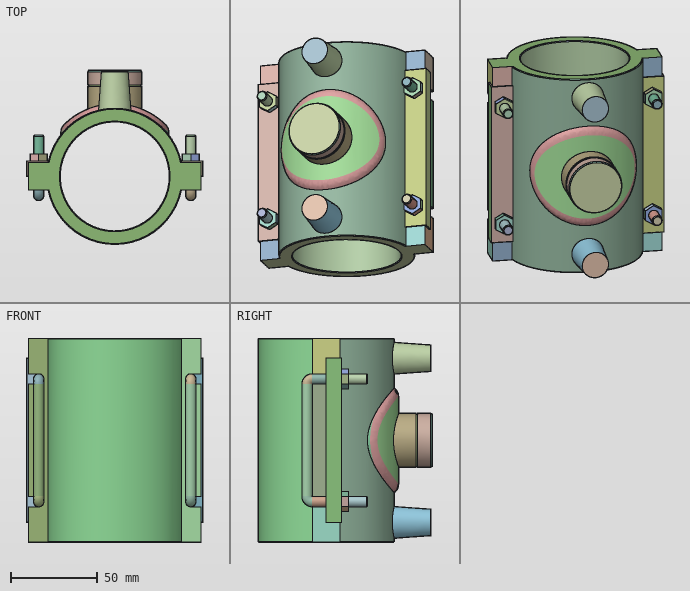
import cadquery as cq


SHELL_LENGTH = 118.0
SHELL_RADIUS = 39.4
BORE_RADIUS = 31.5
SHELL_CHAMFER = 0.5

FLANGE_HALF_WIDTH = 50.0
FLANGE_THICKNESS = 8.0

PLATE_THICKNESS = 1.0
PLATE_LENGTH = 95.0

ROD_DIAMETER = 6.0
ROD_RADIUS = ROD_DIAMETER / 2
ROD_X = 44.0
ROD_Z = 35.5
ROD_TIP_Y = 24.0
ROD_CHAMFER_RADIAL = 0.5
ROD_CHAMFER_LENGTH = 0.8
BEND_INNER_RADIUS = 0.05
BEND_RADIUS = ROD_RADIUS + BEND_INNER_RADIUS
NUT_ACROSS_FLATS = 10.0
NUT_HEIGHT = 4.0

PAD_DIAMETER = 62.7
PAD_OUTER_RADIUS = 42.0
PAD_EDGE_FILLET = 6.0

SPIGOT_DIAMETER = 31.35
SPIGOT_TIP_Y = 61.48
SPIGOT_CHAMFER_RADIAL = 0.5
SPIGOT_CHAMFER_LENGTH = 1.0
GROOVE_DIAMETER = 30.35
GROOVE_WIDTH = 1.0
COLLAR_LENGTH = 8.5

PEG_Z = 47.5
PEG_BASE_DIAMETER = 19.29
PEG_TIP_DIAMETER = 15.5
PEG_BASE_Y = 34.5
PEG_TIP_Y = 60.6

MID_WALL_RADIUS = (BORE_RADIUS + SHELL_RADIUS) / 2
PLATE_FACE_Y = FLANGE_THICKNESS + PLATE_THICKNESS
HALF_LENGTH = SHELL_LENGTH / 2


def block(x_range, y_range, z_range):
    """Axis-aligned box given by its (low, high) limits on each axis."""
    limits = (x_range, y_range, z_range)
    sizes = [high - low for low, high in limits]
    corner = cq.Vector(*[low for low, _ in limits])
    return cq.Workplane("XY").box(*sizes, centered=False).translate(corner)


def plane_facing_y(x, y, z):
    """Workplane at a point, with its normal along +Y."""
    return cq.Workplane(cq.Plane(origin=(x, y, z), xDir=(1, 0, 0), normal=(0, 1, 0)))


def turned_about_y(profile):
    """Solid turned about the Y axis from a closed (radius, y) profile."""
    return cq.Workplane("XY").polyline(profile).close().revolve(360, (0, 0, 0), (0, 1, 0))


def make_shell():
    """Pipe shell without its bore, chamfered on both rims."""
    shell = cq.Workplane("XY").circle(SHELL_RADIUS).extrude(HALF_LENGTH, both=True)
    return shell.faces("|Z").edges().chamfer(SHELL_CHAMFER)


def make_bore():
    """Through bore, widening into a chamfer at both ends."""
    rim_radius = BORE_RADIUS + SHELL_CHAMFER
    profile = [
        (0, -HALF_LENGTH),
        (rim_radius, -HALF_LENGTH),
        (BORE_RADIUS, -HALF_LENGTH + SHELL_CHAMFER),
        (BORE_RADIUS, HALF_LENGTH - SHELL_CHAMFER),
        (rim_radius, HALF_LENGTH),
        (0, HALF_LENGTH),
    ]
    return cq.Workplane("XZ").polyline(profile).close().revolve(360, (0, 0, 0), (0, 1, 0))


def make_flange():
    """Flange on the +X side, with two open slots in its -Y half for the U-bolt legs."""
    flange = block(
        (MID_WALL_RADIUS, FLANGE_HALF_WIDTH),
        (-FLANGE_THICKNESS, FLANGE_THICKNESS),
        (-HALF_LENGTH, HALF_LENGTH),
    )
    for z in (-ROD_Z, ROD_Z):
        slot = block(
            (ROD_X, FLANGE_HALF_WIDTH),
            (-FLANGE_THICKNESS, 0),
            (z - ROD_RADIUS, z + ROD_RADIUS),
        )
        flange = flange.cut(slot)
    return flange


def make_plate():
    """Clamping plate covering the back and the outer side of the +Y half flange at +X."""
    half_plate = PLATE_LENGTH / 2
    plate_z = (-half_plate, half_plate)
    back = block(
        (MID_WALL_RADIUS, FLANGE_HALF_WIDTH + PLATE_THICKNESS),
        (FLANGE_THICKNESS, PLATE_FACE_Y),
        plate_z,
    )
    side = block(
        (FLANGE_HALF_WIDTH, FLANGE_HALF_WIDTH + PLATE_THICKNESS),
        (0, PLATE_FACE_Y),
        plate_z,
    )
    return back.union(side)


def make_leg():
    """Upper leg of the U-bolt with its chamfered tip, its nut and its quarter bend."""
    tip_radius = ROD_RADIUS - ROD_CHAMFER_RADIAL
    rod = turned_about_y([
        (0, -FLANGE_THICKNESS),
        (ROD_RADIUS, -FLANGE_THICKNESS),
        (ROD_RADIUS, ROD_TIP_Y - ROD_CHAMFER_LENGTH),
        (tip_radius, ROD_TIP_Y),
        (0, ROD_TIP_Y),
    ]).translate((ROD_X, 0, ROD_Z))

    nut = (
        plane_facing_y(ROD_X, PLATE_FACE_Y, ROD_Z)
        .polygon(6, NUT_ACROSS_FLATS, circumscribed=True)
        .extrude(NUT_HEIGHT)
    )

    bend = (
        plane_facing_y(ROD_X, -FLANGE_THICKNESS, ROD_Z)
        .circle(ROD_RADIUS)
        .revolve(90, (0, BEND_RADIUS, 0), (1, BEND_RADIUS, 0))
    )
    return rod.union(nut).union(bend)


def make_u_bolt():
    """U-bolt on the +X side: two mirrored legs joined by a straight bar."""
    leg = make_leg()
    bar_half_length = ROD_Z - BEND_RADIUS
    bar = (
        cq.Workplane("XY")
        .center(ROD_X, -FLANGE_THICKNESS - BEND_RADIUS)
        .circle(ROD_RADIUS)
        .extrude(bar_half_length, both=True)
    )
    return bar.union(leg).union(leg.mirror("XY"))


def make_pad():
    """Saddle pad: a round disc with a face concentric with the shell and a rounded edge."""
    disc = plane_facing_y(0, 0, 0).circle(PAD_DIAMETER / 2).extrude(PAD_DIAMETER)
    outer = cq.Workplane("XY").circle(PAD_OUTER_RADIUS).extrude(PAD_DIAMETER, both=True)
    return disc.intersect(outer).faces(">Y").edges().fillet(PAD_EDGE_FILLET)


def make_spigot():
    """Spigot with a chamfered tip and a shallow groove behind its end collar."""
    radius = SPIGOT_DIAMETER / 2
    groove_radius = GROOVE_DIAMETER / 2
    groove_front_y = SPIGOT_TIP_Y - COLLAR_LENGTH
    groove_back_y = groove_front_y - GROOVE_WIDTH
    return turned_about_y([
        (0, MID_WALL_RADIUS),
        (radius, MID_WALL_RADIUS),
        (radius, groove_back_y),
        (groove_radius, groove_back_y),
        (groove_radius, groove_front_y),
        (radius, groove_front_y),
        (radius, SPIGOT_TIP_Y - SPIGOT_CHAMFER_LENGTH),
        (radius - SPIGOT_CHAMFER_RADIAL, SPIGOT_TIP_Y),
        (0, SPIGOT_TIP_Y),
    ])


def make_peg():
    """Taper peg at the +Z end of the shell."""
    return turned_about_y([
        (0, PEG_BASE_Y),
        (PEG_BASE_DIAMETER / 2, PEG_BASE_Y),
        (PEG_TIP_DIAMETER / 2, PEG_TIP_Y),
        (0, PEG_TIP_Y),
    ]).translate((0, 0, PEG_Z))


side_assembly = make_flange().union(make_plate()).union(make_u_bolt())
peg = make_peg()

body = make_shell()
for feature in (
    side_assembly,
    side_assembly.mirror("YZ"),
    make_pad(),
    make_spigot(),
    peg,
    peg.mirror("XY"),
):
    body = body.union(feature)

result = body.cut(make_bore())